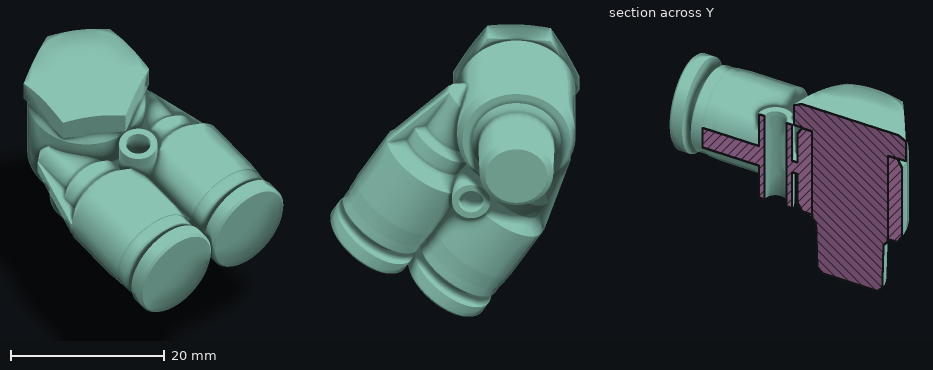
import cadquery as cq
import math


overall_length = 34.95
hex_across_flats = 14.33
hex_across_corners = hex_across_flats / math.cos(math.pi / 6)
sleeve_end_x = overall_length - hex_across_corners / 2

barrel_height = 13.98
barrel_radius = 15.5 / 2
barrel_chamfer_height = 1.25
barrel_chamfer_width = 0.7
bore_radius = 11.1 / 2

branch_pitch = 12.02
branch_sides = (-1, 1)
stub_radius = 6.8 / 2
shoulder_radius = 8.85 / 2
socket_radius = 12.37 / 2
taper_end_radius = 12.05 / 2
nose_radius = 11.9 / 2
nose_chamfer = 0.2
stub_start_x = 1.6
shoulder_start_x = 8.45
shoulder_end_x = 10.55
taper_start_x = 19.68
nose_start_x = 21.7
nose_end_x = 23.52
socket_start_x = shoulder_end_x + socket_radius - shoulder_radius

plate_thickness = 2.0
web_thickness = 3.35
web_width = 0.7
eyelet_x = 10.95
eyelet_diameter = 5.0
eyelet_hole_diameter = 3.2

head_height = 4.0
head_top_diameter = 14.25
head_chamfer_angle = math.radians(30)
stem_gap = 0.2
collar_radius = 11.6 / 2
collar_height = 0.98
thread_top_radius = 10.0 / 2
thread_end_radius = 9.6 / 2
tip_chamfer = 0.77
screw_bottom_z = -16.2

neck_diameter = 7.9
flange_width = 11.92
flange_height = barrel_height
flange_thickness = 2.0
flange_chamfer = 0.3


def make_barrel():
    """Upright cylinder with a conical chamfer at both ends."""
    half_height = barrel_height / 2
    end_radius = barrel_radius - barrel_chamfer_width
    side_half_height = half_height - barrel_chamfer_height
    profile = [
        (0, -half_height),
        (end_radius, -half_height),
        (barrel_radius, -side_half_height),
        (barrel_radius, side_half_height),
        (end_radius, half_height),
        (0, half_height),
    ]
    return cq.Workplane("XZ").polyline(profile).close().revolve(360, (0, 0), (0, 1))


def make_branch(side):
    """Stepped tube socket along X; every slope up to the socket is 45 degrees."""
    profile = [
        (stub_start_x - stub_radius, 0),
        (stub_start_x, stub_radius),
        (shoulder_start_x - (shoulder_radius - stub_radius), stub_radius),
        (shoulder_start_x, shoulder_radius),
        (shoulder_end_x, shoulder_radius),
        (socket_start_x, socket_radius),
        (taper_start_x, socket_radius),
        (nose_start_x, taper_end_radius),
        (nose_start_x, nose_radius),
        (nose_end_x - nose_chamfer, nose_radius),
        (nose_end_x, nose_radius - nose_chamfer),
        (nose_end_x, 0),
    ]
    branch = cq.Workplane("XY").polyline(profile).close().revolve(360, (0, 0), (1, 0))
    return branch.translate((0, side * branch_pitch / 2, 0))


def make_rib_plate():
    """Flat plate joining the branches and flaring out from the stubs to the sockets."""
    stub_edge_y = branch_pitch / 2 + stub_radius
    socket_edge_y = branch_pitch / 2 + socket_radius
    outline = [
        (stub_start_x, -stub_edge_y),
        (socket_start_x, -socket_edge_y),
        (socket_start_x, socket_edge_y),
        (stub_start_x, stub_edge_y),
    ]
    return cq.Workplane("XY").polyline(outline).close().extrude(plate_thickness / 2, both=True)


def make_socket_web():
    """Narrow web filling the groove between the two sockets, up to the noses."""
    web_length = nose_start_x - socket_start_x
    return cq.Workplane("XY").box(web_length, web_width, web_thickness).translate(
        (socket_start_x + web_length / 2, 0, 0)
    )


def upright_cylinder(x, diameter):
    """Cylinder along Z, as tall as the barrel and centred on the branch plane."""
    return cq.Workplane("XY").center(x, 0).circle(diameter / 2).extrude(barrel_height / 2, both=True)


def make_housing():
    """Barrel, branches, plate, web and eyelet as one solid with both vertical holes."""
    body = make_barrel().union(make_rib_plate())
    for side in branch_sides:
        body = body.union(make_branch(side))
    body = body.union(make_socket_web())
    body = body.union(upright_cylinder(eyelet_x, eyelet_diameter))
    body = body.cut(upright_cylinder(eyelet_x, eyelet_hole_diameter))
    return body.cut(upright_cylinder(0, 2 * bore_radius))


def make_screw_head():
    """Hexagon with corners on the X axis, its top corners turned off by a cone."""
    head_bottom_z = barrel_height / 2
    hexagon = (
        cq.Workplane("XY", origin=(0, 0, head_bottom_z))
        .polygon(6, hex_across_corners)
        .extrude(head_height)
    )
    corner_radius = hex_across_corners / 2
    top_radius = head_top_diameter / 2
    corner_drop = (corner_radius - top_radius) * math.tan(head_chamfer_angle)
    top_z = head_bottom_z + head_height
    profile = [
        (0, head_bottom_z),
        (corner_radius, head_bottom_z),
        (corner_radius, top_z - corner_drop),
        (top_radius, top_z),
        (0, top_z),
    ]
    turned_blank = cq.Workplane("XZ").polyline(profile).close().revolve(360, (0, 0), (0, 1))
    return hexagon.intersect(turned_blank)


def make_screw_stem():
    """Shank filling the barrel bore, conical collar and tapered thread below it."""
    collar_top_z = -barrel_height / 2 - stem_gap
    thread_top_z = collar_top_z - collar_height
    profile = [
        (0, barrel_height / 2),
        (bore_radius, barrel_height / 2),
        (bore_radius, collar_top_z),
        (collar_radius, collar_top_z),
        (thread_top_radius, thread_top_z),
        (thread_end_radius, screw_bottom_z + tip_chamfer),
        (thread_end_radius - tip_chamfer, screw_bottom_z),
        (0, screw_bottom_z),
    ]
    return cq.Workplane("XZ").polyline(profile).close().revolve(360, (0, 0), (0, 1))


def make_screw():
    return make_screw_head().union(make_screw_stem())


def make_release_sleeve(side):
    """Round neck standing on the branch nose, with an upright elliptical flange."""
    flange_start_x = sleeve_end_x - flange_thickness
    neck = (
        cq.Workplane("YZ", origin=(nose_end_x, 0, 0))
        .circle(neck_diameter / 2)
        .extrude(flange_start_x - nose_end_x)
    )
    flange = (
        cq.Workplane("YZ", origin=(flange_start_x, 0, 0))
        .ellipse(flange_width / 2, flange_height / 2)
        .extrude(flange_thickness)
        .faces(">X")
        .chamfer(flange_chamfer)
    )
    return neck.union(flange).translate((0, side * branch_pitch / 2, 0))


housing = make_housing()
screw = make_screw()
release_sleeves = [make_release_sleeve(side) for side in branch_sides]

result = cq.Compound.makeCompound(
    [
        housing.solids().val(),
        screw.solids().val(),
        *[sleeve.solids().val() for sleeve in release_sleeves],
    ]
)